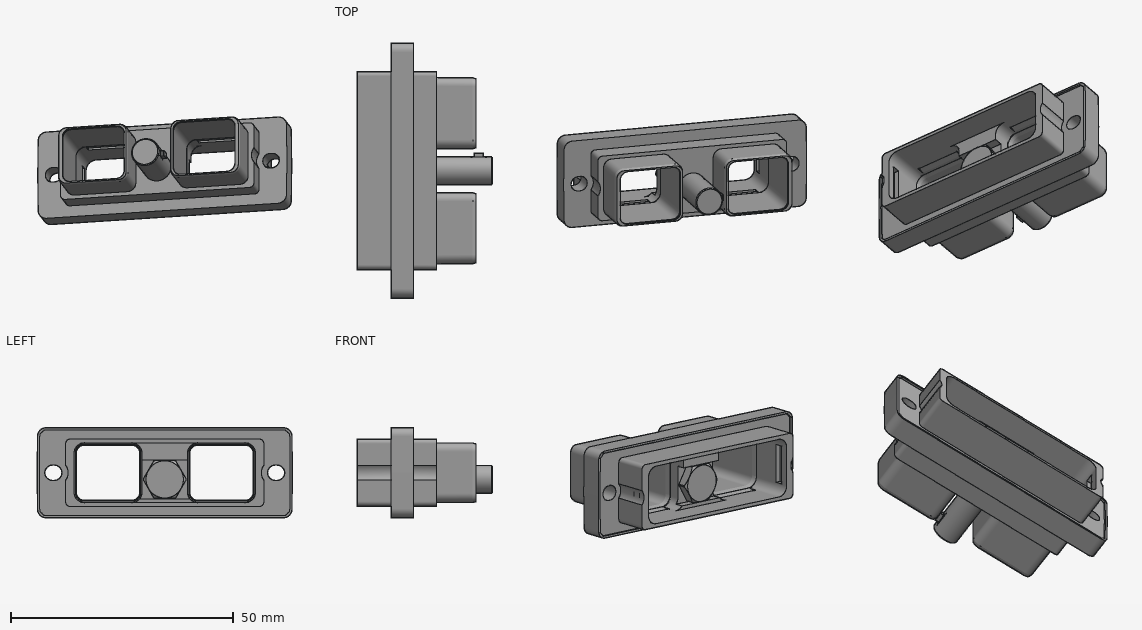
import cadquery as cq
import math


body_length = 17.85
body_width = 44.55
body_height = 15.15
body_corner = 1.05
flange_start = 7.65
flange_end = 12.7
flange_width = 57.4
flange_height = 20.25
flange_corner = 1.95
flange_end_rise = 0.1
rim_width = 0.5
rim_depth = 0.45
rim_corner_cut = 1.0
side_notch_half_height = 1.65
side_notch_depth = 0.6

screw_slot_offset = 25.05
screw_slot_length = 3.8
screw_slot_height = 3.4

cavity_width = 40.75
cavity_height = 13.4
cavity_corner = 2.3
block_front = 5.75
block_width = 10.2
window_width = (cavity_width - block_width) / 2
window_offset = (cavity_width + block_width) / 4

latch_slot_start = 1.8
latch_slot_end = 3.7
latch_slot_depth = 1.1
groove_start = 8.05
groove_end = 9.8
groove_depth = 0.45

sleeve_start = 10.5
sleeve_end = 26.75
sleeve_inner_side = 4.95
sleeve_outer_side = 20.9
sleeve_height = 13.45
sleeve_corner = 1.95
sleeve_lead_length = 0.75
sleeve_lead_drop = 0.25
sleeve_draft = 0.1
mouth_step = 0.3
mouth_length = 1.1
lip_step = 0.25
lip_length = 0.75

bolt_height = -1.5
bolt_end = 30.35
shank_diameter = 6.3
shank_edge = 0.25
head_start = 5.45
head_seat = 7.75
head_flats = 8.45
head_corners = head_flats / math.cos(math.pi / 6)
head_face_diameter = 8.4
head_crown_diameter = 9.6
head_chamfer_length = 0.4
head_slot_top = 2.85
head_slot_bottom = -5.85

lug_along = 27.3
lug_seat = 2.85
lug_height = 1.25
lug_foot_length = 3.8
lug_shoulder = 3.3
lug_neck_length = 2.05
lug_cap_length = 2.2
lug_cap_start = 3.75
lug_top = 3.95


def x_plane(x):
    """Sketch plane facing +X at the given x; sketch axes are Y and Z."""
    return cq.Workplane("YZ", origin=(x, 0, 0))


def x_block(start, end, width, height, corner, offset=0.0):
    """Bar along X with a rounded rectangular section."""
    bar = x_plane(start).center(offset, 0).rect(width, height).extrude(end - start)
    return bar.edges("|X").fillet(corner)


def flange_outline(inset):
    """Rectangle whose two ends rise slightly to a point at mid height."""
    tip = flange_width / 2 - inset
    side = tip - flange_end_rise
    top = flange_height / 2 - inset
    return x_plane(flange_start).polyline(
        [(tip, 0), (side, top), (-side, top), (-tip, 0), (-side, -top), (side, -top)]
    ).close()


def make_flange():
    flange = flange_outline(0).extrude(flange_end - flange_start)
    flange = flange.edges("|X and (>Z or <Z)").fillet(flange_corner)
    recess = flange_outline(rim_width).extrude(rim_depth)
    recess = recess.edges("|X and (>Z or <Z)").chamfer(rim_corner_cut)
    return flange.cut(recess)


def make_screw_slots():
    slots = x_plane(flange_start).pushPoints([(-screw_slot_offset, 0), (screw_slot_offset, 0)])
    return slots.slot2D(screw_slot_length, screw_slot_height).extrude(flange_end - flange_start)


def make_side_notches():
    """Shallow round grooves along both ends of the body, in line with the screws."""
    radius = (side_notch_half_height**2 + side_notch_depth**2) / (2 * side_notch_depth)
    axis = body_width / 2 - side_notch_depth + radius
    grooves = x_plane(0).pushPoints([(-axis, 0), (axis, 0)]).circle(radius)
    return grooves.extrude(body_length)


def make_cavity():
    cavity = x_block(0, block_front, cavity_width, cavity_height, cavity_corner)
    for side in (-1, 1):
        window = x_block(
            block_front, sleeve_start, window_width, cavity_height, cavity_corner, side * window_offset
        )
        cavity = cavity.union(window).union(sleeve_blank(side))
    return cavity


def make_latch_slots():
    """Slots in the two end walls of the cavity, made as one bar across it."""
    return x_plane(latch_slot_start).rect(
        cavity_width + 2 * latch_slot_depth, cavity_height - 2 * cavity_corner
    ).extrude(latch_slot_end - latch_slot_start)


def make_latch_groove(side, up):
    """Wedge groove that starts deep and runs out into the floor (up=-1) or the ceiling (up=1)."""
    surface = up * cavity_height / 2
    length = window_width - 2 * cavity_corner
    wedge = cq.Workplane("XZ", origin=(0, side * window_offset + length / 2, 0)).polyline([
        (groove_start, 0),
        (groove_start, surface + up * groove_depth),
        (groove_end, surface),
        (groove_end, 0),
    ]).close()
    return wedge.extrude(length)


def make_head_slot():
    """Slot across the front of the centre block for the bolt head."""
    return cq.Workplane("XY").box(
        head_seat - block_front,
        block_width + 2 * cavity_corner,
        head_slot_top - head_slot_bottom,
        centered=(False, True, False),
    ).translate((block_front, 0, head_slot_bottom))


def make_bolt_hole():
    return bolt_plane(head_seat).circle(shank_diameter / 2).extrude(body_length - head_seat)


def make_housing():
    body = x_block(0, body_length, body_width, body_height, body_corner).cut(make_side_notches())
    housing = body.union(make_flange()).cut(make_screw_slots())
    housing = housing.cut(make_cavity()).cut(make_latch_slots())
    for side in (-1, 1):
        for up in (-1, 1):
            housing = housing.cut(make_latch_groove(side, up))
    return housing.cut(make_head_slot()).cut(make_bolt_hole())


def sleeve_blank(side):
    """Solid bar of the sleeve's outer shape; its outward face tapers towards the rear."""
    outline = cq.Workplane("XY", origin=(0, 0, -sleeve_height / 2)).polyline([
        (sleeve_start, side * sleeve_inner_side),
        (sleeve_end, side * sleeve_inner_side),
        (sleeve_end, side * sleeve_outer_side),
        (sleeve_start, side * (sleeve_outer_side + sleeve_draft)),
    ]).close()
    bar = outline.extrude(sleeve_height)
    bar = bar.edges("(not |Y) and (not |Z)").fillet(sleeve_corner)
    return bar.faces(">X").chamfer(sleeve_lead_length, sleeve_lead_drop)


def make_sleeve(side):
    """Open rectangular tube with a tapered mouth at its front and a lip at its rear."""
    def bore(start, end, step):
        return x_block(start, end, window_width - 2 * step, cavity_height - 2 * step,
                       cavity_corner - step, side * window_offset)

    mouth_end = sleeve_start + mouth_length
    mouth_taper = math.degrees(math.atan(mouth_step / mouth_length))
    mouth = bore(sleeve_start, mouth_end, 0).faces("<X").wires().toPending()
    mouth = mouth.extrude(mouth_length, taper=mouth_taper, combine=False)
    passage = bore(sleeve_start, sleeve_end - lip_length, mouth_step)
    opening = bore(sleeve_start, sleeve_end, mouth_step + lip_step)
    return sleeve_blank(side).cut(mouth).cut(passage).cut(opening)


def bolt_plane(x):
    """Sketch plane facing +X, centred on the bolt axis."""
    return x_plane(x).center(0, bolt_height)


def make_bolt():
    head = bolt_plane(head_start).polygon(6, head_corners).extrude(head_seat - head_start)
    crown = bolt_plane(head_start).circle(head_crown_diameter / 2).extrude(head_seat - head_start)
    head = head.intersect(
        crown.faces("<X").chamfer(head_chamfer_length, (head_crown_diameter - head_face_diameter) / 2)
    )
    shank = bolt_plane(head_seat).circle(shank_diameter / 2).extrude(bolt_end - head_seat)
    shank = shank.faces(">X").chamfer(shank_edge)
    return head.union(shank).cut(make_lug())


def make_lug():
    """T-shaped lug on a flared foot that is set into the shank."""
    foot = lug_foot_length / 2
    neck = lug_neck_length / 2
    cap = lug_cap_length / 2
    profile = cq.Workplane("XY", origin=(lug_along, 0, bolt_height)).polyline([
        (-foot, lug_seat),
        (foot, lug_seat),
        (neck, lug_shoulder),
        (neck, lug_cap_start),
        (cap, lug_cap_start),
        (cap, lug_top),
        (-cap, lug_top),
        (-cap, lug_cap_start),
        (-neck, lug_cap_start),
        (-neck, lug_shoulder),
    ]).close()
    return profile.extrude(lug_height / 2, both=True)


housing = make_housing()
sleeves = [make_sleeve(side) for side in (-1, 1)]
bolt = make_bolt()
lug = make_lug()

result = cq.Compound.makeCompound(
    [housing.val(), *[sleeve.val() for sleeve in sleeves], bolt.val(), lug.val()]
)